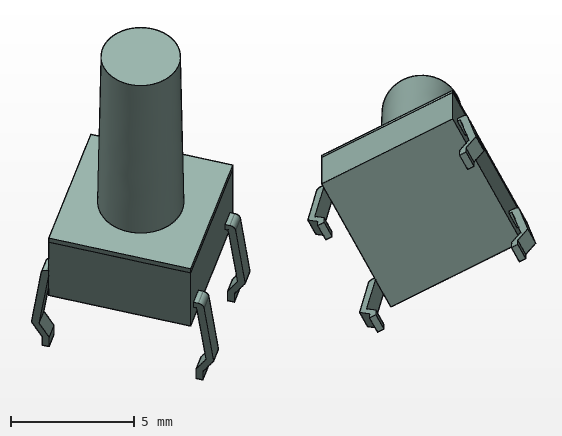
import cadquery as cq

total_height = 15.5
lead_span = 7.7

body_side = 6.0
housing_bottom = 3.49
cover_bottom = 6.65
cover_top = 6.9

plunger_base_radius = 1.75
plunger_top_radius = 1.61

lead_width = 0.7
lead_pitch = 4.5
lead_thickness = 0.3
shoulder_top = 4.5
shoulder_reach = 0.42
shoulder_radius = 0.25
knee_height = 1.25
foot_outer_x = 3.4
ankle_outer_height = 0.5
ankle_inner_height = 0.56
knee_inner_height = 1.27
knee_inner_inset = 0.33


def make_lead(y_center):
    """Lead on the +X side, with its shoulder flush against the housing wall."""
    wall_x = body_side / 2
    knee_x = lead_span / 2
    shoulder_x = wall_x + shoulder_reach
    foot_inner_x = foot_outer_x - lead_thickness
    profile = [
        (wall_x, shoulder_top),
        (shoulder_x, shoulder_top),
        (knee_x, knee_height),
        (foot_outer_x, ankle_outer_height),
        (foot_outer_x, 0),
        (foot_inner_x, 0),
        (foot_inner_x, ankle_inner_height),
        (knee_x - knee_inner_inset, knee_inner_height),
        (shoulder_x - lead_thickness, shoulder_top - lead_thickness),
        (wall_x, shoulder_top - lead_thickness),
    ]
    lead = (
        cq.Workplane("XZ", origin=(0, y_center, 0))
        .polyline(profile)
        .close()
        .extrude(lead_width / 2, both=True)
    )
    shoulder_edge = cq.selectors.NearestToPointSelector((shoulder_x, y_center, shoulder_top))
    return lead.edges("|Y").edges(shoulder_edge).fillet(shoulder_radius)


def make_block(bottom, top):
    """Square block centred on the Z axis."""
    return cq.Workplane("XY", origin=(0, 0, bottom)).rect(body_side, body_side).extrude(top - bottom)


def make_housing():
    """Square housing with its four leads joined to the side walls."""
    housing = make_block(housing_bottom, cover_bottom)
    for y_center in (-lead_pitch / 2, lead_pitch / 2):
        lead = make_lead(y_center)
        housing = housing.union(lead).union(lead.mirror("YZ"))
    return housing


def make_plunger():
    """Tapered round plunger standing on the cover."""
    profile = [
        (0, cover_top),
        (plunger_base_radius, cover_top),
        (plunger_top_radius, total_height),
        (0, total_height),
    ]
    return cq.Workplane("XZ").polyline(profile).close().revolve(360, (0, 0), (0, 1))


housing = make_housing()
cover = make_block(cover_bottom, cover_top)
plunger = make_plunger()

result = cq.Compound.makeCompound([housing.solids().val(), cover.val(), plunger.val()])